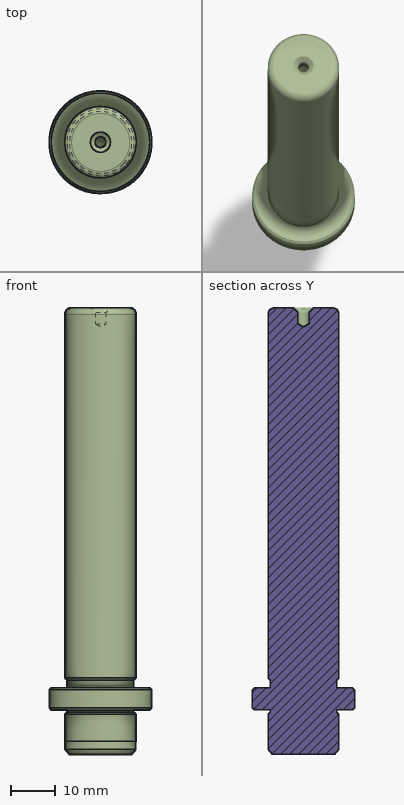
import cadquery as cq
import math

length = 100.0
pin_radius = 16.0 / 2
tip_round = 1.5

collar_radius = 23.0 / 2
collar_bottom = 10.0
collar_top = 15.0
collar_chamfer = 0.5
groove_radius = 15.0 / 2
lower_groove_bottom = 9.5
upper_groove_top = 16.7
groove_chamfer = pin_radius - groove_radius

lead_height = 3.0
lead_radius = 15.9 / 2
lead_chamfer_height = 1.2
lead_chamfer_width = 1.0

countersink_radius = 4.5 / 2
countersink_angle = 90.0
pilot_radius = 2.4 / 2
pilot_length = 2.5
drill_point_angle = 120.0


def cone_depth(radius_change, included_angle):
    """Axial length of a cone over the given change of radius."""
    return radius_change / math.tan(math.radians(included_angle / 2))


def make_pin():
    """Revolve the half section of the pin, with radius along X and height along Z."""
    diagonal = math.sqrt(0.5)
    tip_arc_middle = (
        pin_radius - tip_round * (1 - diagonal),
        length - tip_round * (1 - diagonal),
    )
    section = (
        cq.Workplane("XZ")
        .lineTo(lead_radius - lead_chamfer_width, 0)
        .lineTo(lead_radius, lead_chamfer_height)
        .lineTo(lead_radius, lead_height)
        .lineTo(pin_radius, lead_height)
        .lineTo(pin_radius, lower_groove_bottom - groove_chamfer)
        .lineTo(groove_radius, lower_groove_bottom)
        .lineTo(groove_radius, collar_bottom)
        .lineTo(collar_radius - collar_chamfer, collar_bottom)
        .lineTo(collar_radius, collar_bottom + collar_chamfer)
        .lineTo(collar_radius, collar_top - collar_chamfer)
        .lineTo(collar_radius - collar_chamfer, collar_top)
        .lineTo(groove_radius, collar_top)
        .lineTo(groove_radius, upper_groove_top)
        .lineTo(pin_radius, upper_groove_top + groove_chamfer)
        .lineTo(pin_radius, length - tip_round)
        .threePointArc(tip_arc_middle, (pin_radius - tip_round, length))
        .lineTo(0, length)
        .close()
    )
    return section.revolve(360, (0, 0), (0, 1))


def make_centre_hole():
    """Countersink, pilot bore and conical drill point on the pin axis."""
    pilot_top = length - cone_depth(countersink_radius - pilot_radius, countersink_angle)
    pilot_bottom = pilot_top - pilot_length
    point_bottom = pilot_bottom - cone_depth(pilot_radius, drill_point_angle)
    section = (
        cq.Workplane("XZ")
        .moveTo(0, length)
        .lineTo(countersink_radius, length)
        .lineTo(pilot_radius, pilot_top)
        .lineTo(pilot_radius, pilot_bottom)
        .lineTo(0, point_bottom)
        .close()
    )
    return section.revolve(360, (0, 0), (0, 1))


result = make_pin().cut(make_centre_hole())